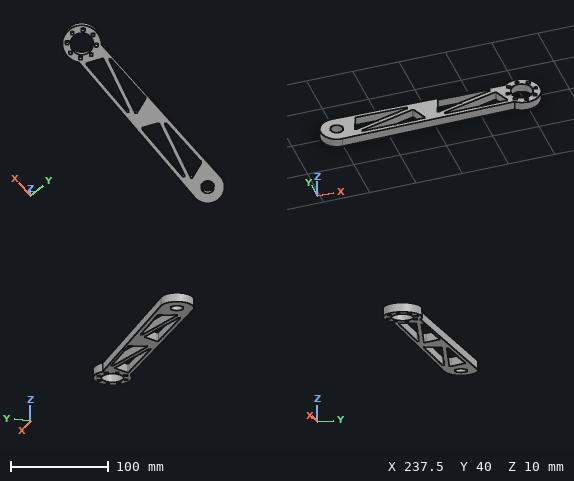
import cadquery as cq
import math

thickness = 10.0
arm_length = 200.0
pivot_radius = 17.5
pivot_bore_diameter = 13.0
ring_radius = 20.0
ring_bore_diameter = 23.0
bar_half_width_at_ring = 15.0

bolt_circle_radius = 15.0
axial_hole_diameter = 3.3
diagonal_hole_diameter = 4.0
holes_per_size = 4

wall = 5.0
rib_width = 5.0
rib_angle = 15.0
rib_axis_crossing = 53.2
left_edge_crossing = 19.7
left_edge_angle = 70.0
right_edge_crossing = 87.1
right_edge_angle = 113.0
window_corner_radius = 1.0
window_pair_count = 2
window_pair_step = (89.5, 0.9)

taper_slope = (pivot_radius - bar_half_width_at_ring) / arm_length


def sloped_edge(slope, y_at_origin):
    """Line y = slope * x + y_at_origin."""
    return slope, y_at_origin


def edge_through_axis(angle, x_crossing):
    """Line at the given angle that crosses Y = 0 at x_crossing."""
    slope = math.tan(math.radians(angle))
    return sloped_edge(slope, -slope * x_crossing)


def meeting_point(edge_a, edge_b):
    slope_a, offset_a = edge_a
    slope_b, offset_b = edge_b
    x = (offset_b - offset_a) / (slope_a - slope_b)
    return x, slope_a * x + offset_a


def disc(x, radius):
    return cq.Workplane("XY").center(x, 0).circle(radius).extrude(thickness)


def arm_blank():
    bar = (
        cq.Workplane("XY")
        .moveTo(0, pivot_radius)
        .lineTo(arm_length, bar_half_width_at_ring)
        .lineTo(arm_length, -bar_half_width_at_ring)
        .lineTo(0, -pivot_radius)
        .threePointArc((-pivot_radius, 0), (0, pivot_radius))
        .close()
        .extrude(thickness)
    )
    return bar.union(disc(arm_length, ring_radius))


def bolt_holes(diameter, start_angle):
    return (
        cq.Workplane("XY")
        .center(arm_length, 0)
        .polarArray(bolt_circle_radius, start_angle, 360, holes_per_size)
        .circle(diameter / 2)
        .extrude(thickness)
    )


def window(edges):
    """Cutter bounded by the edges, taken in order, with rounded corners."""
    corners = [meeting_point(edges[i - 1], edges[i]) for i in range(len(edges))]
    return (
        cq.Workplane("XY")
        .polyline(corners)
        .close()
        .extrude(thickness)
        .edges("|Z")
        .fillet(window_corner_radius)
    )


def window_pair():
    wall_inner_y = pivot_radius - wall
    top_edge = sloped_edge(-taper_slope, wall_inner_y)
    bottom_edge = sloped_edge(taper_slope, -wall_inner_y)
    left_edge = edge_through_axis(left_edge_angle, left_edge_crossing)
    right_edge = edge_through_axis(right_edge_angle, right_edge_crossing)

    rib_half_shift = rib_width / 2 / math.sin(math.radians(rib_angle))
    rib_upper_edge = edge_through_axis(rib_angle, rib_axis_crossing - rib_half_shift)
    rib_lower_edge = edge_through_axis(rib_angle, rib_axis_crossing + rib_half_shift)

    upper_window = window([left_edge, top_edge, rib_upper_edge])
    lower_window = window([right_edge, bottom_edge, rib_lower_edge])
    return upper_window, lower_window


result = arm_blank()
result = result.cut(disc(0, pivot_bore_diameter / 2))
result = result.cut(disc(arm_length, ring_bore_diameter / 2))
result = result.cut(bolt_holes(axial_hole_diameter, 0))
result = result.cut(bolt_holes(diagonal_hole_diameter, 180 / holes_per_size))

step_x, step_y = window_pair_step
for pair_index in range(window_pair_count):
    for cutter in window_pair():
        result = result.cut(cutter.translate((pair_index * step_x, pair_index * step_y, 0)))